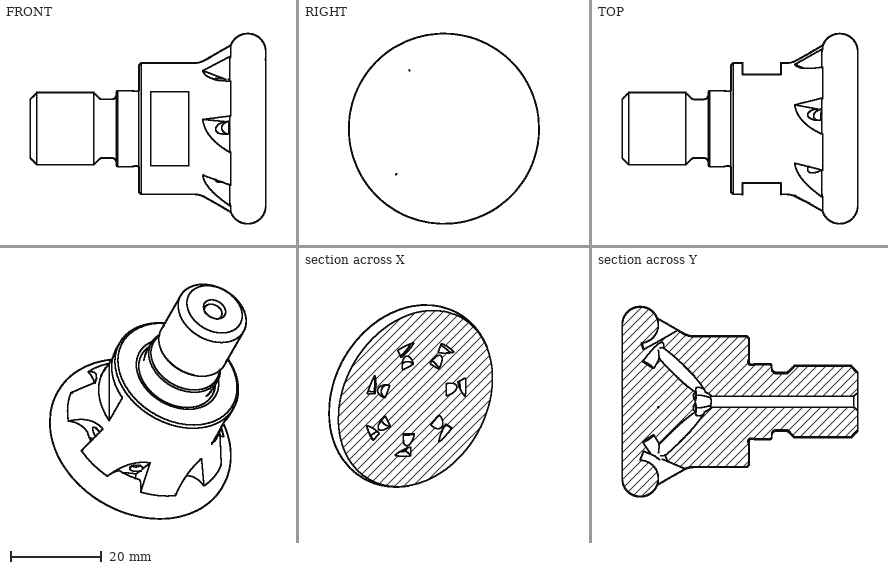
import cadquery as cq
import math

LENGTH = 52.0

STUD_RADIUS = 8.0
STUD_CHAMFER = 1.5
STUD_END = 14.0
RELIEF_RADIUS = 6.5
RELIEF_BLEND = 0.35
RELIEF_FILLET = 0.95

COLLAR_START = 19.0
COLLAR_RADIUS = 8.4
COLLAR_CHAMFER = 0.35
COLLAR_END = 22.35

UNDERCUT_START = 23.1
UNDERCUT_RADIUS = 8.25
UNDERCUT_ARC_START = 23.5
UNDERCUT_FILLET = 0.75
UNDERCUT_OUTER_RADIUS = 9.65

HUB_START = 23.95
HUB_RADIUS = 14.5
HUB_CHAMFER = 0.5
FLAT_START = 26.55
FLAT_LENGTH = 8.4
ACROSS_FLATS = 24.0

FLARE_CORNER = 37.45
FLARE_BLEND = 1.2
FLARE_ANGLE = math.radians(30)

RIM_OUTER_RADIUS = 21.0
RIM_SECTION_RADIUS = 4.0
RIM_X = LENGTH - RIM_SECTION_RADIUS
RIM_PITCH_RADIUS = RIM_OUTER_RADIUS - RIM_SECTION_RADIUS

POCKET_COUNT = 7
POCKET_STEP = 360 / POCKET_COUNT
POCKET_CORNER_X = 38.1
POCKET_LEAD = 8.3
POCKET_TILT = 23.0
POCKET_WALL = 1.3
POCKET_FLOOR = 14.8
POCKET_ARC_RADIUS = 10.4
POCKET_ARC_ANGLE = math.radians(60)

BORE_MOUTH_RADIUS = 2.6
BORE_RADIUS = 2.1
BORE_MOUTH_DEPTH = 0.9
BORE_DEPTH = 35.6
DRILL_POINT_ANGLE = math.radians(59)
PORT_RADIUS = 1.4
PORT_TURN = 12.0
PORT_JUNCTION_X = 44.05
PORT_JUNCTION_RADIUS = 11.8
FEED_ANGLE = math.radians(45)
OUTLET_ANGLE = math.radians(58)
OUTLET_LEAD = 6.25
OUTLET_DEPTH = 4.15


def turned_body():
    """Stud, collar, hub, flare and the core of the handwheel in one revolve."""
    diag = math.sqrt(0.5)
    relief_x = STUD_END + STUD_RADIUS - RELIEF_RADIUS
    blend_x = FLARE_CORNER + FLARE_BLEND * math.cos(FLARE_ANGLE)
    blend_r = HUB_RADIUS + FLARE_BLEND * math.sin(FLARE_ANGLE)
    flare_r = HUB_RADIUS + (RIM_X - FLARE_CORNER) * math.tan(FLARE_ANGLE)
    undercut_bottom = UNDERCUT_RADIUS + UNDERCUT_FILLET
    profile = (
        cq.Workplane("XY")
        .moveTo(0, 0)
        .lineTo(0, STUD_RADIUS - STUD_CHAMFER)
        .lineTo(STUD_CHAMFER, STUD_RADIUS)
        .lineTo(STUD_END, STUD_RADIUS)
        .lineTo(relief_x - RELIEF_BLEND * diag, RELIEF_RADIUS + RELIEF_BLEND * diag)
        .tangentArcPoint((relief_x + RELIEF_BLEND, RELIEF_RADIUS), relative=False)
        .lineTo(COLLAR_START - RELIEF_FILLET, RELIEF_RADIUS)
        .tangentArcPoint((COLLAR_START, RELIEF_RADIUS + RELIEF_FILLET), relative=False)
        .lineTo(COLLAR_START, COLLAR_RADIUS - COLLAR_CHAMFER)
        .lineTo(COLLAR_START + COLLAR_CHAMFER, COLLAR_RADIUS)
        .lineTo(COLLAR_END, COLLAR_RADIUS)
        .lineTo(UNDERCUT_START, UNDERCUT_RADIUS)
        .lineTo(UNDERCUT_ARC_START, UNDERCUT_RADIUS)
        .tangentArcPoint((UNDERCUT_ARC_START + UNDERCUT_FILLET, undercut_bottom), relative=False)
        .lineTo(HUB_START, UNDERCUT_OUTER_RADIUS)
        .lineTo(HUB_START, HUB_RADIUS - HUB_CHAMFER)
        .lineTo(HUB_START + HUB_CHAMFER, HUB_RADIUS)
        .lineTo(FLARE_CORNER - FLARE_BLEND, HUB_RADIUS)
        .tangentArcPoint((blend_x, blend_r), relative=False)
        .lineTo(RIM_X, flare_r)
        .lineTo(RIM_X, 0)
        .close()
    )
    return profile.revolve(360, (0, 0, 0), (1, 0, 0))


def wrench_flats():
    """Two blocks that leave the hub ACROSS_FLATS wide in Y."""
    block = cq.Workplane("XY").box(FLAT_LENGTH, HUB_RADIUS, 2 * HUB_RADIUS, centered=(False, False, True))
    front = block.translate((FLAT_START, -ACROSS_FLATS / 2 - HUB_RADIUS, 0))
    return front.union(front.mirror("XZ"))


def pocket():
    """Pocket below the axis: a straight wall and a floor curving up from it, sinking towards the rim."""
    arc_center = POCKET_FLOOR + POCKET_ARC_RADIUS

    def arc_point(angle):
        along = POCKET_WALL + POCKET_ARC_RADIUS * math.sin(angle)
        return along, -arc_center + POCKET_ARC_RADIUS * math.cos(angle)

    prism = (
        cq.Workplane("YZ", origin=(POCKET_CORNER_X - POCKET_LEAD, 0, 0))
        .moveTo(POCKET_WALL, -arc_center)
        .lineTo(POCKET_WALL, -POCKET_FLOOR)
        .threePointArc(arc_point(POCKET_ARC_ANGLE / 2), arc_point(POCKET_ARC_ANGLE))
        .lineTo(arc_point(POCKET_ARC_ANGLE)[0], -arc_center)
        .close()
        .extrude(RIM_X - POCKET_CORNER_X + POCKET_LEAD)
    )
    hinge = cq.Vector(POCKET_CORNER_X, 0, -POCKET_FLOOR)
    return prism.rotate(hinge.toTuple(), (hinge + cq.Vector(0, 0.5, 0)).toTuple(), -POCKET_TILT)


def rim():
    """Round handwheel rim with a flat web filling it."""
    ring = cq.Workplane("XY").center(RIM_X, RIM_PITCH_RADIUS).circle(RIM_SECTION_RADIUS)
    ring = ring.revolve(360, (0, -RIM_PITCH_RADIUS, 0), (1, -RIM_PITCH_RADIUS, 0))
    web = cq.Workplane("YZ", origin=(RIM_X, 0, 0)).circle(RIM_PITCH_RADIUS).extrude(LENGTH - RIM_X)
    return ring.union(web)


def bore():
    """Central blind bore with a conical mouth and a drill point."""
    point = BORE_RADIUS / math.tan(DRILL_POINT_ANGLE)
    profile = (
        cq.Workplane("XY")
        .polyline([
            (0, 0),
            (0, BORE_MOUTH_RADIUS),
            (BORE_MOUTH_DEPTH, BORE_RADIUS),
            (BORE_DEPTH, BORE_RADIUS),
            (BORE_DEPTH + point, 0),
        ])
        .close()
    )
    return profile.revolve(360, (0, 0, 0), (1, 0, 0))


def cylinder_between(start, end, radius):
    """Solid cylinder whose axis runs from start to end."""
    axis = cq.Vector(*end) - cq.Vector(*start)
    return cq.Workplane(cq.Solid.makeCylinder(radius, axis.Length, cq.Vector(*start), axis))


def port():
    """Feed hole rising from the bore, and the outlet hole that meets it from the pocket floor."""
    feed_slope = math.tan(FEED_ANGLE)
    junction = (PORT_JUNCTION_X, 0, -PORT_JUNCTION_RADIUS)
    feed_start = (PORT_JUNCTION_X - PORT_JUNCTION_RADIUS / feed_slope, 0, 0)

    def on_outlet(distance):
        along = PORT_JUNCTION_X + distance * math.cos(OUTLET_ANGLE)
        return along, 0, -PORT_JUNCTION_RADIUS + distance * math.sin(OUTLET_ANGLE)

    feed = cylinder_between(feed_start, junction, PORT_RADIUS)
    outlet = cylinder_between(on_outlet(-OUTLET_LEAD), on_outlet(OUTLET_DEPTH), PORT_RADIUS)
    return feed.union(outlet).rotate((0, 0, 0), (1, 0, 0), PORT_TURN)


def at_every_pocket(tool):
    """Copies of a tool turned about X to each pocket position."""
    return [tool.rotate((0, 0, 0), (1, 0, 0), i * POCKET_STEP) for i in range(POCKET_COUNT)]


result = turned_body().cut(wrench_flats())
for pocket_tool in at_every_pocket(pocket()):
    result = result.cut(pocket_tool)
result = result.union(rim()).cut(bore())
for port_tool in at_every_pocket(port()):
    result = result.cut(port_tool)